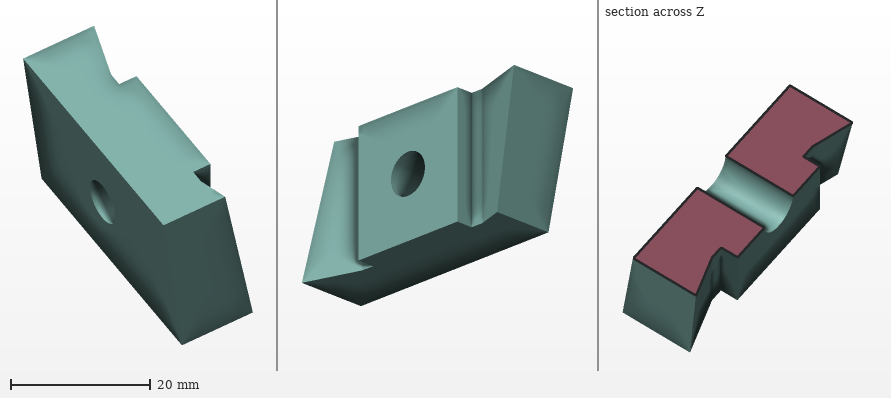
import cadquery as cq

length = 43.0
depth = 12.0
height = 21.0

end_lean = 5.0

rib_width = 20.05
groove_depth = 2.92
groove_width = 2.15

hole_diameter = 6.9

half_length = length / 2
half_height = height / 2
half_rib = rib_width / 2
groove_outer = half_rib + groove_width
groove_y = depth - groove_depth


def grooved_bar():
    """Rectangular bar with the stepped back profile, extruded along Z."""
    profile = [
        (-half_length, 0),
        (half_length, 0),
        (half_length, depth),
        (groove_outer, groove_y),
        (half_rib, groove_y),
        (half_rib, depth),
        (-half_rib, depth),
        (-half_rib, groove_y),
        (-groove_outer, groove_y),
        (-half_length, depth),
    ]
    bar = cq.Workplane("XY").polyline(profile).close().extrude(height)
    return bar.translate((0, 0, -half_height))


def leaning_block():
    """Parallelogram block whose ends lean toward -X at the top."""
    outline = [
        (-half_length, half_height),
        (half_length - end_lean, half_height),
        (half_length, -half_height),
        (-half_length + end_lean, -half_height),
    ]
    return cq.Workplane("XZ").polyline(outline).close().extrude(-depth)


def through_hole():
    """Central bore running along Y through the full depth."""
    return cq.Workplane("XZ").circle(hole_diameter / 2).extrude(-depth)


result = grooved_bar().intersect(leaning_block()).cut(through_hole())